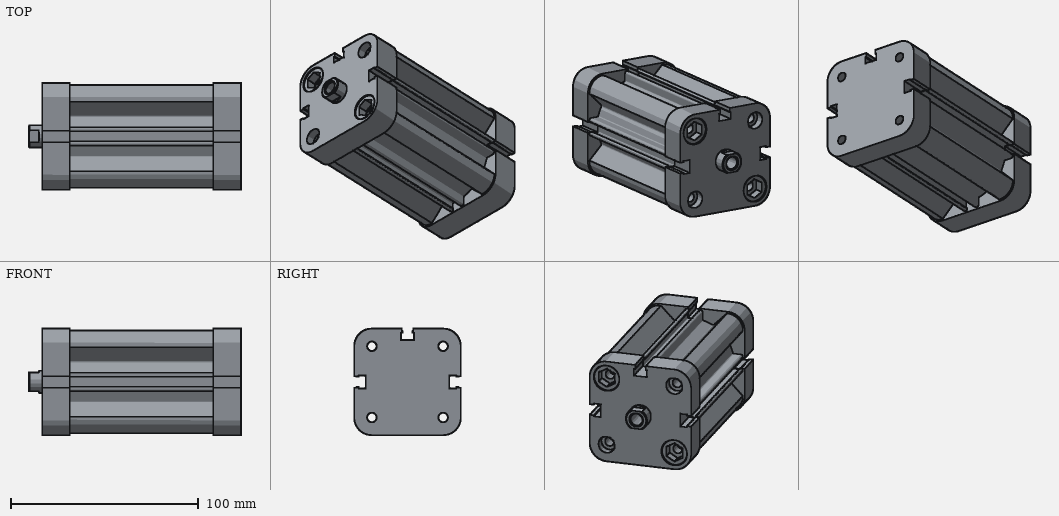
import cadquery as cq
import math


housing_length = 106.0
cap_length = 14.8
cap_width = 57.0
cap_corner_radius = 9.5
profile_inset = 1.0
profile_half = cap_width / 2 - profile_inset
profile_length = housing_length - 2 * cap_length
profile_corner_radius = cap_corner_radius - profile_inset

tube_radius = 22.5
tube_fillet = 1.0
rib_half_width = 5.0
rib_edge_radius = 1.1
rib_root_fillet = 0.7
column_edge = 18.5

cap_slot_floor = 22.3
profile_slot_floor = 22.4
lip_underside = 26.1
cap_mouth_width = 6.0
cap_chamber_width = 7.2
profile_mouth_width = 5.3
profile_chamber_width = 6.5
lip_edge_radius = 0.7
slot_floor_fillet = 0.3

hole_offset = cap_width / 2 - cap_corner_radius
hole_diameter = 5.0
counterbore_diameter = 9.0
counterbore_depth = 5.0

screw_diameter = 14.0
screw_seat_diameter = 14.5
screw_recess = 0.6
screw_length = 12.4
socket_width = 9.0
socket_depth = 5.4

rod_diameter = 12.0
rod_overhang = 7.0
rod_depth = 22.6
rod_chamfer = 0.5
rod_chamfer_length = 0.3
flat_width = 10.1
flat_length = 5.1
flat_runout_angle = 25
bore_diameter = 6.7
bore_mouth_diameter = 7.8
bore_mouth_length = 0.6
bore_depth = 13.6
bore_tip_angle = 118

SCREW_CENTRES = [(hole_offset, hole_offset), (-hole_offset, -hole_offset)]
PLAIN_CENTRES = [(-hole_offset, hole_offset), (hole_offset, -hole_offset)]
ALL_SIDES = [0, 90, 180, 270]
SLOTTED_CAP_SIDES = [0, 90, 270]


def section_plane(x):
    """Plane across the axis at x, with local axes Y and Z."""
    return cq.Workplane("YZ", origin=(x, 0, 0))


def turned(body, angle):
    return body.rotate((0, 0, 0), (1, 0, 0), angle)


def rounded_block(x, length, width, corner_radius):
    return section_plane(x).rect(width, width).extrude(length).edges("|X").fillet(corner_radius)


def pocket_cutter():
    """Pocket on the +Y half of the +Z side, bounded by rib, tube and corner column."""
    root_height = math.sqrt(tube_radius**2 - rib_half_width**2)
    wall_offset = profile_half - column_edge
    wall_foot = (math.sqrt(2 * tube_radius**2 - wall_offset**2) - wall_offset) / 2
    foot_height = wall_foot + wall_offset
    middle_angle = (math.atan2(root_height, rib_half_width) + math.atan2(foot_height, wall_foot)) / 2
    tube_middle = (tube_radius * math.cos(middle_angle), tube_radius * math.sin(middle_angle))
    cutter = (
        section_plane(cap_length)
        .moveTo(rib_half_width - rib_edge_radius, profile_half)
        .radiusArc((rib_half_width, profile_half - rib_edge_radius), rib_edge_radius)
        .lineTo(rib_half_width, root_height)
        .threePointArc(tube_middle, (wall_foot, foot_height))
        .lineTo(column_edge, profile_half)
        .close()
        .extrude(profile_length)
    )
    middle_x = housing_length / 2
    root_edge = cq.selectors.NearestToPointSelector((middle_x, rib_half_width, root_height))
    foot_edge = cq.selectors.NearestToPointSelector((middle_x, wall_foot, foot_height))
    cutter = cutter.edges("|X").edges(root_edge).fillet(rib_root_fillet)
    return cutter.edges("|X").edges(foot_edge).fillet(tube_fillet)


def slot_chamber(x, length, width, floor):
    height = lip_underside - floor
    middle = (floor + lip_underside) / 2
    return section_plane(x).center(0, middle).rect(width, height).extrude(length)


def profile_slot_cutter():
    """T-slot on the +Z side of the profile, with rounded lips and floor corners."""
    mouth_half = profile_mouth_width / 2
    rounding_start = profile_half - lip_edge_radius
    mouth = (
        section_plane(cap_length)
        .moveTo(-mouth_half, profile_slot_floor)
        .lineTo(-mouth_half, rounding_start)
        .radiusArc((-mouth_half - lip_edge_radius, profile_half), -lip_edge_radius)
        .lineTo(mouth_half + lip_edge_radius, profile_half)
        .radiusArc((mouth_half, rounding_start), -lip_edge_radius)
        .lineTo(mouth_half, profile_slot_floor)
        .close()
        .extrude(profile_length)
    )
    chamber = slot_chamber(cap_length, profile_length, profile_chamber_width, profile_slot_floor)
    return mouth.union(chamber.faces("<Z").edges("|X").fillet(slot_floor_fillet))


def cap_slot_cutter(x):
    """T-slot on the +Z side of the cap that starts at x."""
    mouth_height = cap_width / 2 - cap_slot_floor
    mouth = (
        section_plane(x)
        .center(0, cap_slot_floor + mouth_height / 2)
        .rect(cap_mouth_width, mouth_height)
        .extrude(cap_length)
    )
    return mouth.union(slot_chamber(x, cap_length, cap_chamber_width, cap_slot_floor))


def make_profile():
    profile = rounded_block(cap_length, profile_length, 2 * profile_half, profile_corner_radius)
    pocket = pocket_cutter()
    mirrored_pocket = pocket.mirror("XZ")
    slot = profile_slot_cutter()
    for angle in ALL_SIDES:
        for cutter in (pocket, mirrored_pocket, slot):
            profile = profile.cut(turned(cutter, angle))
    return profile


def make_cap(x):
    cap = rounded_block(x, cap_length, cap_width, cap_corner_radius)
    slot = cap_slot_cutter(x)
    for angle in SLOTTED_CAP_SIDES:
        cap = cap.cut(turned(slot, angle))
    return cap


def bore(centres, diameter, depth):
    """Cylinders that cut holes into the front face."""
    return section_plane(0).pushPoints(centres).circle(diameter / 2).extrude(depth)


def make_housing():
    housing = make_cap(0).union(make_profile()).union(make_cap(housing_length - cap_length))
    housing = housing.cut(bore(SCREW_CENTRES + PLAIN_CENTRES, hole_diameter, housing_length))
    housing = housing.cut(bore(PLAIN_CENTRES, counterbore_diameter, counterbore_depth))
    housing = housing.cut(bore(SCREW_CENTRES, screw_seat_diameter, screw_recess + screw_length))
    return housing.cut(bore([(0, 0)], rod_diameter, rod_depth))


def make_screw(centre):
    corner_diameter = socket_width / math.cos(math.pi / 6)
    blank = section_plane(screw_recess).center(*centre).circle(screw_diameter / 2).extrude(screw_length)
    socket = (
        section_plane(screw_recess)
        .center(*centre)
        .transformed(rotate=(0, 0, 90))
        .polygon(6, corner_diameter)
        .extrude(socket_depth)
    )
    return blank.cut(socket).cut(bore([centre], hole_diameter, screw_recess + screw_length))


def rod_chamfer_cutter():
    """Ring that bevels the outer edge of the rod tip."""
    rod_radius = rod_diameter / 2
    tip_x = -rod_overhang
    return (
        cq.Workplane("XY")
        .moveTo(tip_x, rod_radius - rod_chamfer)
        .lineTo(tip_x + rod_chamfer_length, rod_radius)
        .lineTo(tip_x, rod_radius)
        .close()
        .revolve(360, (0, 0, 0), (1, 0, 0))
    )


def rod_bore_cutter():
    """Blind bore with a chamfered mouth and a drill-point end."""
    bore_radius = bore_diameter / 2
    mouth_radius = bore_mouth_diameter / 2
    tip_length = bore_radius / math.tan(math.radians(bore_tip_angle / 2))
    tip_x = -rod_overhang
    return (
        cq.Workplane("XY")
        .moveTo(tip_x, 0)
        .lineTo(tip_x, mouth_radius)
        .lineTo(tip_x + bore_mouth_length, bore_radius)
        .lineTo(tip_x + bore_depth, bore_radius)
        .lineTo(tip_x + bore_depth + tip_length, 0)
        .close()
        .revolve(360, (0, 0, 0), (1, 0, 0))
    )


def rod_flat_cutter():
    """Wrench flat on the +Z side of the rod, with a sloping end."""
    rod_radius = rod_diameter / 2
    flat_height = flat_width / 2
    runout = (rod_radius - flat_height) * math.tan(math.radians(flat_runout_angle))
    tip_x = -rod_overhang
    return (
        cq.Workplane("XZ")
        .moveTo(tip_x, flat_height)
        .lineTo(tip_x + flat_length, flat_height)
        .lineTo(tip_x + flat_length + runout, rod_radius)
        .lineTo(tip_x, rod_radius)
        .close()
        .extrude(rod_radius, both=True)
    )


def make_rod():
    rod = section_plane(-rod_overhang).circle(rod_diameter / 2).extrude(rod_overhang + rod_depth)
    rod = rod.cut(rod_chamfer_cutter())
    flat = rod_flat_cutter()
    return rod.cut(rod_bore_cutter()).cut(flat).cut(flat.mirror("XY"))


housing = make_housing()
rod = make_rod()
screws = [make_screw(centre) for centre in SCREW_CENTRES]

result = cq.Compound.makeCompound([housing.val(), rod.val(), *[screw.val() for screw in screws]])